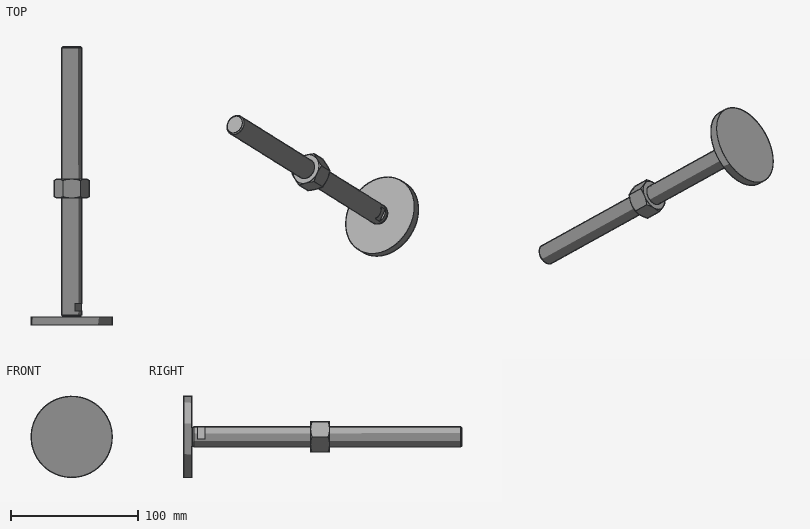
import cadquery as cq
import math


plate_diameter = 64.0
plate_thickness = 6.5
collar_flare = 0.4

overall_length = 219.0
spindle_radius = 8.0
spindle_start = 7.0
end_chamfer = 1.0

flats_across = 12.0
flats_length = 6.0
flats_start = 11.0
flats_tilt = 30.0

nut_across_flats = 24.0
nut_height = 14.8
nut_start = 100.0
nut_chamfer_angle = 30.0
nut_face_diameter = nut_across_flats


def plane_at(y):
    """Plane square to the axis at y, facing +Y, with local x along +X."""
    return cq.Plane(origin=(0, y, 0), xDir=(1, 0, 0), normal=(0, 1, 0))


def revolve_profile(points):
    """Solid of revolution about the Y axis from (radius, y) points."""
    return cq.Workplane("XY").polyline(points).close().revolve(360, (0, 0, 0), (0, 1, 0))


def make_plate():
    """Round plate with a low flared collar that meets the end face of the spindle."""
    plate_radius = plate_diameter / 2
    collar_top_radius = spindle_radius - end_chamfer
    return revolve_profile([
        (0, 0),
        (plate_radius, 0),
        (plate_radius, plate_thickness),
        (collar_top_radius + collar_flare, plate_thickness),
        (collar_top_radius, spindle_start),
        (0, spindle_start),
    ])


def make_flat_cutter(side):
    """Block that removes the spindle beyond one wrench flat; side is +1 or -1."""
    block_size = 2 * spindle_radius
    block = cq.Workplane("XY").box(block_size, flats_length, block_size)
    block = block.translate((side * (flats_across + block_size) / 2, flats_start + flats_length / 2, 0))
    return block.rotate((0, 0, 0), (0, 1, 0), -flats_tilt)


def make_spindle():
    end_radius = spindle_radius - end_chamfer
    spindle = revolve_profile([
        (0, spindle_start),
        (end_radius, spindle_start),
        (spindle_radius, spindle_start + end_chamfer),
        (spindle_radius, overall_length - end_chamfer),
        (end_radius, overall_length),
        (0, overall_length),
    ])
    for side in (1, -1):
        spindle = spindle.cut(make_flat_cutter(side))
    return spindle


def make_nut():
    corner_radius = nut_across_flats / math.sqrt(3)
    face_radius = nut_face_diameter / 2
    chamfer_length = (corner_radius - face_radius) * math.tan(math.radians(nut_chamfer_angle))
    nut_end = nut_start + nut_height

    hexagon = cq.Workplane(plane_at(nut_start)).polygon(6, 2 * corner_radius).extrude(nut_height)
    chamfer_envelope = revolve_profile([
        (spindle_radius, nut_start),
        (face_radius, nut_start),
        (corner_radius, nut_start + chamfer_length),
        (corner_radius, nut_end - chamfer_length),
        (face_radius, nut_end),
        (spindle_radius, nut_end),
    ])
    return hexagon.intersect(chamfer_envelope)


plate = make_plate()
spindle = make_spindle()
nut = make_nut()

result = cq.Compound.makeCompound([plate.val(), spindle.val(), nut.val()])